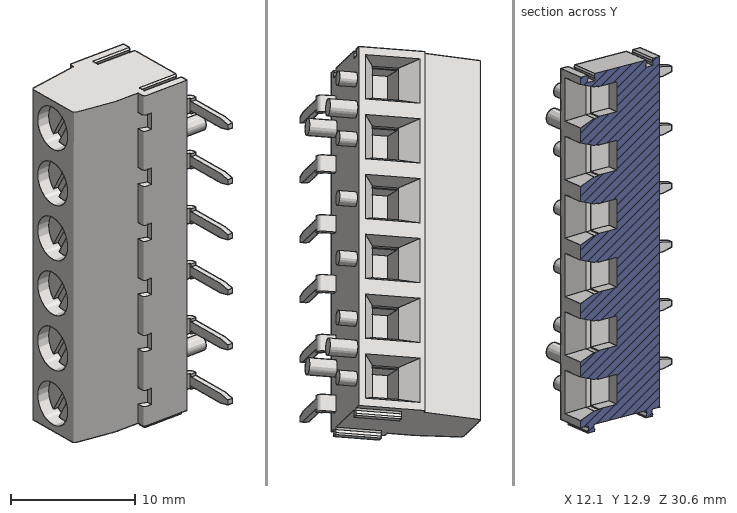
import cadquery as cq


pole_count = 6
overall_height = 30.6
overall_depth = 12.9
rib_height = 0.6
body_height = overall_height - rib_height
pitch = body_height / pole_count
body_width = 8.08
body_depth = 10.62
wire_step_depth = 5.6
wire_step_width = 0.5
flange_depth = 4.47
flange_inner_x = 7.3
taper_start_depth = 6.8
nose_left_x = 1.35
nose_right_x = 6.7
nose_radius = 0.3
wire_step_radius = 0.2
flange_radius = 0.28

screw_x = 4.0
screw_diameter = 3.8
screw_recess = 1.13
slot_width = 0.8
slot_depth = 0.45
slot_angle = 60.0

mouth_back, mouth_front = 0.55, 5.1
mouth_height = 3.7
throat_back, throat_front = 1.53, 3.7
throat_height = 2.65
funnel_depth = 1.38
throat_depth = 0.45
chamber_back = 1.6
chamber_end_front = 3.45
chamber_height = 2.5
chamber_depth = 1.85

pocket_height = 1.47
pocket_depth = 0.75
pocket_slope = 0.25

rail_centers = (1.1, 7.0)
rail_length = 3.8
rail_root_width = 0.67
rail_neck_width = 0.52
rail_bulge_width = 0.73
rail_foot_width = 0.65
rail_neck_drop = 0.18
rail_bulge_drop = 0.45

peg_columns = (1.0, 7.0)
peg_diameter = 1.4
peg_length = overall_depth - body_depth
peg_levels = (pitch, (pole_count - 1) * pitch)
pin_diameter = 1.2
pin_length = 1.47

blade_thickness = 0.5
blade_x = 6.73
blade_drop = 0.5
shank_height = 1.38
shank_reach = 7.4
blade_height = 0.85
blade_end_x = 12.05
tip_length = 0.92
tip_height = 0.45

pole_levels = [pitch * (i + 0.5) for i in range(pole_count)]


def make_housing():
    """Housing prism with the wire step on the left and the flange on the right."""
    outline = [
        (0, 0),
        (0, -wire_step_depth),
        (wire_step_width, -wire_step_depth),
        (nose_left_x, -body_depth),
        (nose_right_x, -body_depth),
        (flange_inner_x, -taper_start_depth),
        (flange_inner_x, -flange_depth),
        (body_width, -flange_depth),
        (body_width, 0),
    ]
    housing = cq.Workplane("XY").polyline(outline).close().extrude(body_height)
    for x, y, radius in (
        (0, -wire_step_depth, wire_step_radius),
        (nose_left_x, -body_depth, nose_radius),
        (nose_right_x, -body_depth, nose_radius),
        (body_width, -flange_depth, flange_radius),
    ):
        corner = cq.selectors.NearestToPointSelector((x, y, body_height / 2))
        housing = housing.edges(corner).fillet(radius)
    return housing


def screw_cut(z):
    """Round recess with the driver slot sunk into its floor."""
    floor_y = screw_recess - body_depth
    recess = (
        cq.Workplane("XZ", origin=(screw_x, floor_y, z)).circle(screw_diameter / 2).extrude(screw_recess)
    )
    slot = (
        cq.Workplane("XZ", origin=(screw_x, floor_y + slot_depth, z))
        .transformed(rotate=(0, 0, slot_angle))
        .rect(2 * screw_diameter, slot_width)
        .extrude(slot_depth)
    )
    head = cq.Workplane("XZ", origin=(screw_x, floor_y + slot_depth, z)).circle(screw_diameter / 2)
    return recess.union(slot.intersect(head.extrude(slot_depth)))


def funnel_cut(z):
    """Tapered wire entry, a straight throat and a chamber whose front wall slopes inward."""
    mouth_y = -(mouth_back + mouth_front) / 2
    throat_y = -(throat_back + throat_front) / 2
    funnel = (
        cq.Workplane("YZ")
        .center(mouth_y, z)
        .rect(mouth_front - mouth_back, mouth_height)
        .workplane(offset=funnel_depth)
        .center(throat_y - mouth_y, 0)
        .rect(throat_front - throat_back, throat_height)
        .loft(ruled=True)
    )
    throat_end = funnel_depth + throat_depth
    throat = (
        cq.Workplane("YZ", origin=(funnel_depth, throat_y, z))
        .rect(throat_front - throat_back, throat_height)
        .extrude(throat_depth)
    )
    chamber_end = throat_end + chamber_depth
    chamber = (
        cq.Workplane("XY", origin=(0, 0, z - chamber_height / 2))
        .moveTo(throat_end, -chamber_back)
        .lineTo(chamber_end, -chamber_back)
        .lineTo(chamber_end, -chamber_end_front)
        .lineTo(throat_end, -throat_front)
        .close()
        .extrude(chamber_height)
    )
    return funnel.union(throat).union(chamber)


def flange_pocket(z):
    """Pocket in the front of the flange, open to +X, with a sloping inner wall."""
    outline = [
        (flange_inner_x, -flange_depth),
        (flange_inner_x + pocket_slope, pocket_depth - flange_depth),
        (body_width, pocket_depth - flange_depth),
        (body_width, -flange_depth),
    ]
    base = cq.Workplane("XY", origin=(0, 0, z - pocket_height / 2))
    return base.polyline(outline).close().extrude(pocket_height)


def rail(x, top_z):
    """Dovetail bar hanging below top_z, running forward from the solder side."""
    stations = [
        (rail_root_width / 2, top_z),
        (rail_neck_width / 2, top_z - rail_neck_drop),
        (rail_bulge_width / 2, top_z - rail_bulge_drop),
        (rail_foot_width / 2, top_z - rib_height),
    ]
    left = [(x - half_width, z) for half_width, z in stations]
    right = [(x + half_width, z) for half_width, z in reversed(stations)]
    outline = left + right
    return cq.Workplane("XZ").polyline(outline).close().extrude(rail_length)


def post(x, z, diameter, length):
    """Round post standing on the solder side."""
    return cq.Workplane("XZ", origin=(x, 0, z)).circle(diameter / 2).extrude(-length)


def blade(z):
    """Flat pin that leaves the solder side and bends over toward +X."""
    inner_y = pin_length - blade_thickness
    shank = (
        cq.Workplane("XY", origin=(0, 0, z - shank_height / 2))
        .moveTo(blade_x, 0)
        .lineTo(blade_x, inner_y)
        .radiusArc((blade_x + blade_thickness, pin_length), blade_thickness)
        .lineTo(shank_reach, pin_length)
        .lineTo(shank_reach, inner_y)
        .lineTo(blade_x + blade_thickness, inner_y)
        .lineTo(blade_x + blade_thickness, 0)
        .close()
        .extrude(shank_height)
    )
    tip_x = blade_end_x - tip_length
    outline = [
        (shank_reach, z - blade_height / 2),
        (tip_x, z - blade_height / 2),
        (blade_end_x, z - tip_height / 2),
        (blade_end_x, z + tip_height / 2),
        (tip_x, z + blade_height / 2),
        (shank_reach, z + blade_height / 2),
    ]
    strip = cq.Workplane("XZ", origin=(0, inner_y, 0)).polyline(outline).close().extrude(-blade_thickness)
    return shank.union(strip)


result = make_housing()
for level in pole_levels:
    result = result.cut(screw_cut(level))
    result = result.cut(funnel_cut(level))
    result = result.cut(flange_pocket(level))
    result = result.union(post(peg_columns[0], level, pin_diameter, pin_length))
    result = result.union(blade(level - blade_drop))

for center in rail_centers:
    result = result.cut(rail(center, body_height))
    result = result.union(rail(center, 0))

for column in peg_columns:
    for level in peg_levels:
        result = result.union(post(column, level, peg_diameter, peg_length))